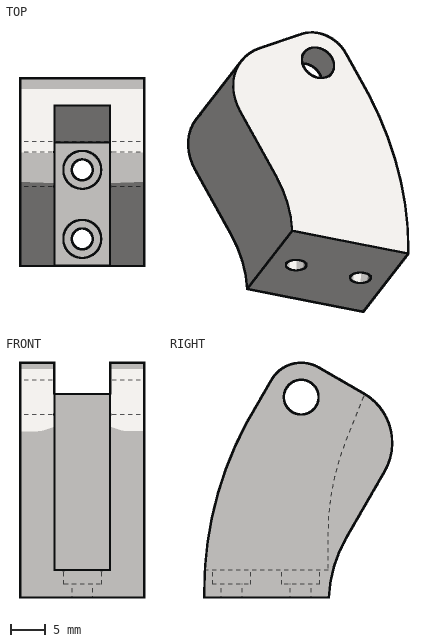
import cadquery as cq
import math

width = 18.0
depth = 27.27
height = 34.05
base_depth = 18.08
front_lip_height = 1.0

lean = math.radians(30)
lean_sin = math.sin(lean)
lean_cos = math.cos(lean)

hinge_bore = 5.0
eye_radius = 5.0
hinge_y = 14.05
hinge_z = height - eye_radius

shoulder_radius = 8.27
shoulder_y = depth - shoulder_radius

front_curve_top = 25.35
rear_curve_top = 8.65

slot_width = 8.1
floor_height = 4.0
slot_rear_y = 17.95
slot_front_clearance = 1.7
slot_wall_curve_start = 9.02
slot_wall_curve_end_y = 20.67
slot_wall_curve_end_z = 23.05

screw_diameter = 3.0
counterbore_diameter = 5.5
counterbore_depth = 2.0
first_screw_y = 3.95
screw_spacing = 10.0


def point_on_circle(center, radius, angle):
    return (center[0] + radius * math.cos(angle), center[1] + radius * math.sin(angle))


def make_body():
    """Leaning side outline, drawn in the YZ plane and extruded across the width."""
    hinge = (hinge_y, hinge_z)
    eye_front = point_on_circle(hinge, eye_radius, math.pi - lean)
    eye_top = point_on_circle(hinge, eye_radius, math.pi / 2)
    eye_rear = point_on_circle(hinge, eye_radius, math.pi / 2 - lean)

    radius_change = shoulder_radius - eye_radius
    shoulder_z = hinge_z - (radius_change + (shoulder_y - hinge_y) * lean_sin) / lean_cos
    shoulder = (shoulder_y, shoulder_z)
    shoulder_top = point_on_circle(shoulder, shoulder_radius, math.pi / 2 - lean)
    shoulder_rear = point_on_circle(shoulder, shoulder_radius, 0)
    shoulder_bottom = point_on_circle(shoulder, shoulder_radius, -lean)

    rear_curve_y = shoulder_bottom[0] - (shoulder_bottom[1] - rear_curve_top) * math.tan(lean)
    front_curve_y = eye_front[0] - (eye_front[1] - front_curve_top) * math.tan(lean)

    return (
        cq.Workplane("YZ")
        .lineTo(0, front_lip_height)
        .tangentArcPoint((front_curve_y, front_curve_top), relative=False)
        .lineTo(*eye_front)
        .threePointArc(eye_top, eye_rear)
        .lineTo(*shoulder_top)
        .threePointArc(shoulder_rear, shoulder_bottom)
        .lineTo(rear_curve_y, rear_curve_top)
        .tangentArcPoint((base_depth, 0), relative=False)
        .close()
        .extrude(width / 2, both=True)
    )


def make_slot():
    """Space between the cheeks, open to the front and top, with a curved rear wall."""
    wall_run = slot_wall_curve_end_y - slot_rear_y
    wall_rise = slot_wall_curve_end_z - slot_wall_curve_start
    wall_lean = 2 * math.atan2(wall_run, wall_rise)
    wall_top_y = slot_wall_curve_end_y + (height - slot_wall_curve_end_z) * math.tan(wall_lean)
    return (
        cq.Workplane("YZ")
        .moveTo(-slot_front_clearance, floor_height)
        .lineTo(slot_rear_y, floor_height)
        .lineTo(slot_rear_y, slot_wall_curve_start)
        .tangentArcPoint((slot_wall_curve_end_y, slot_wall_curve_end_z), relative=False)
        .lineTo(wall_top_y, height)
        .lineTo(-slot_front_clearance, height)
        .close()
        .extrude(slot_width / 2, both=True)
    )


def make_hinge_bore():
    return (
        cq.Workplane("YZ")
        .center(hinge_y, hinge_z)
        .circle(hinge_bore / 2)
        .extrude(width, both=True)
    )


def make_screw_hole(y):
    shank = cq.Workplane("XY").center(0, y).circle(screw_diameter / 2).extrude(floor_height)
    counterbore = (
        cq.Workplane("XY", origin=(0, y, floor_height - counterbore_depth))
        .circle(counterbore_diameter / 2)
        .extrude(counterbore_depth)
    )
    return shank.union(counterbore)


result = make_body().cut(make_slot()).cut(make_hinge_bore())
for screw_y in (first_screw_y, first_screw_y + screw_spacing):
    result = result.cut(make_screw_hole(screw_y))